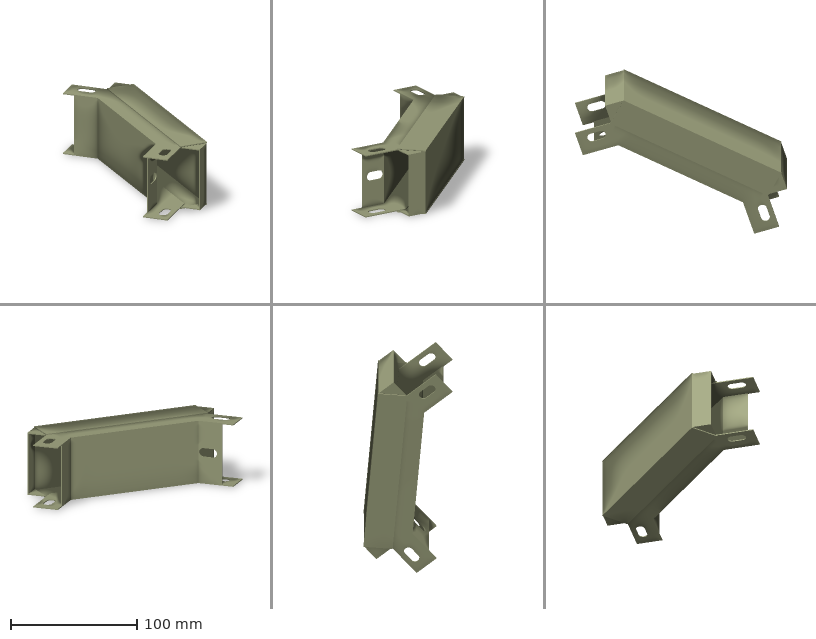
import cadquery as cq
import math

SIZE = 145.3
HEIGHT = 53.2
SHEET = 0.8

LEG_LENGTH = 29.5
LEG_INSIDE = 108.1
LEG_WIDTH = 20.8
WEB_SETBACK = 9.6

COVER_START = 30.2
LEG_INSET = 0.3
LEG_FLANGE_STEP = 0.1

SLOT_LENGTH = 15.0
SLOT_WIDTH = 7.1
FLANGE_SLOT_CENTER = 15.4
FLANGE_SLOT_INSET = 7.8
WEB_SLOT_CENTER = 21.4

CHANNEL_HALF = HEIGHT / 2 - SHEET
LEG_BACK = LEG_INSIDE + LEG_WIDTH
BEND = math.tan(math.radians(22.5))
COVER_CORNER = LEG_LENGTH + SIZE - LEG_BACK


def mirrored(points):
    """Complete an outline with its reflection in the plane x = y."""
    return points + [(y, x) for x, y in reversed(points)]


def prism(points, bottom, top):
    return cq.Workplane("XY").workplane(offset=bottom).polyline(points).close().extrude(top - bottom)


def strip(start, offset_face, inner_bend, thickness):
    """Bent strip outline whose faces are at offset_face and thickness beyond it."""
    back = offset_face + thickness
    outer_bend = inner_bend + BEND * thickness
    front_path = mirrored([(start, offset_face), (inner_bend, offset_face)])
    back_path = mirrored([(start, back), (outer_bend, back)])
    return front_path + back_path[::-1]


def make_channel():
    flange = strip(0, LEG_INSIDE, LEG_LENGTH, LEG_WIDTH)
    web = strip(WEB_SETBACK, LEG_INSIDE, LEG_LENGTH, SHEET)
    body = prism(web, -CHANNEL_HALF, CHANNEL_HALF)
    for bottom in (-CHANNEL_HALF, CHANNEL_HALF - SHEET):
        body = body.union(prism(flange, bottom, bottom + SHEET))

    slot_line = LEG_BACK - FLANGE_SLOT_INSET
    for x, y, angle in ((FLANGE_SLOT_CENTER, slot_line, 0), (slot_line, FLANGE_SLOT_CENTER, 90)):
        slot = (
            cq.Workplane("XY").workplane(offset=-HEIGHT / 2).center(x, y)
            .slot2D(SLOT_LENGTH, SLOT_WIDTH, angle).extrude(HEIGHT)
        )
        body = body.cut(slot)

    web_slot = (
        cq.Workplane("YZ").workplane(offset=LEG_INSIDE - SHEET).center(WEB_SLOT_CENTER, 0)
        .slot2D(SLOT_LENGTH, SLOT_WIDTH).extrude(3 * SHEET)
    )
    return body.cut(web_slot)


def make_cover():
    leg_face = SIZE - LEG_INSET
    leg_bend = COVER_CORNER - BEND * LEG_INSET
    web = strip(COVER_START, leg_face - SHEET, leg_bend - BEND * SHEET, SHEET)
    body = prism(web, -CHANNEL_HALF, CHANNEL_HALF)

    long_flange = mirrored([(LEG_LENGTH, LEG_BACK), (COVER_CORNER, SIZE)])
    corner_flange = [
        (COVER_START, LEG_BACK + COVER_START - LEG_LENGTH),
        (COVER_START, leg_face),
        (COVER_CORNER - LEG_INSET, leg_face),
    ]
    other_corner = [(y, x) for x, y in corner_flange]
    for bottom in (-HEIGHT / 2, CHANNEL_HALF):
        body = body.union(prism(long_flange, bottom, bottom + SHEET))
    leg_flange_top = CHANNEL_HALF - LEG_FLANGE_STEP
    for bottom in (-leg_flange_top, leg_flange_top - SHEET):
        for outline in (corner_flange, other_corner):
            body = body.union(prism(outline, bottom, bottom + SHEET))
    return body


channel = make_channel()
cover = make_cover()
result = cq.Compound.makeCompound([channel.solids().val(), cover.solids().val()])